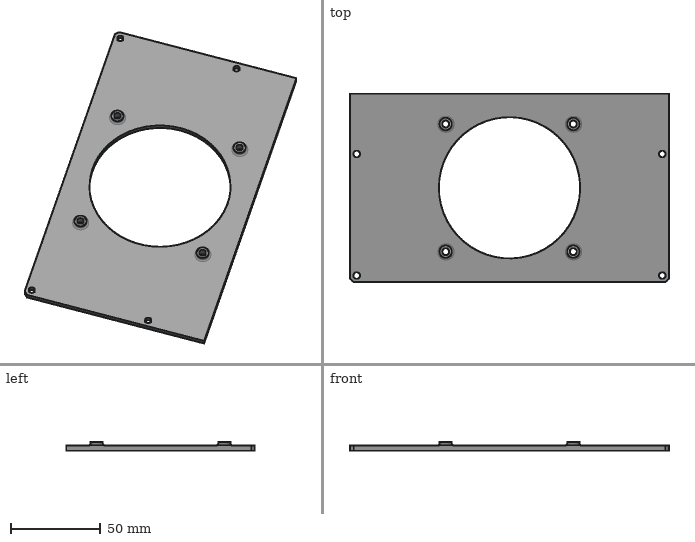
import cadquery as cq
import math

length = 178.6
width = 105.5
plate_thickness = 3.0
corner_chamfer = 2.0
opening_diameter = 79.0

mount_hole_diameter = 3.5
mount_hole_x = 85.5
mount_hole_rows = (-49.1, 19.0)

boss_pitch = 71.5
boss_height = 2.0
boss_diameter = 7.0
boss_hole_diameter = 3.8
boss_fillet = 1.0


def make_plate():
    """Flat plate with its two front corners cut off and a large round opening."""
    plate = cq.Workplane("XY").box(length, width, plate_thickness, centered=(True, True, False))
    plate = plate.edges("|Z and <Y").chamfer(corner_chamfer)
    return plate.faces(">Z").workplane(origin=(0, 0, 0)).hole(opening_diameter)


def make_boss():
    """Round boss that blends into the plate with a concave fillet."""
    top = plate_thickness + boss_height
    boss_radius = boss_diameter / 2
    foot_radius = boss_radius + boss_fillet
    foot_top = plate_thickness + boss_fillet
    arc_depth = boss_fillet * math.sqrt(0.5)
    arc_middle = (foot_radius - arc_depth, foot_top - arc_depth)
    return (
        cq.Workplane("XZ")
        .lineTo(foot_radius, 0)
        .lineTo(foot_radius, plate_thickness)
        .threePointArc(arc_middle, (boss_radius, foot_top))
        .lineTo(boss_radius, top)
        .lineTo(0, top)
        .close()
        .revolve(360, (0, 0, 0), (0, 1, 0))
    )


def make_drills(points, diameter):
    """Cylinders that cut through the plate and the bosses at the given points."""
    drill_length = plate_thickness + boss_height
    return cq.Workplane("XY").pushPoints(points).circle(diameter / 2).extrude(drill_length)


boss_points = [(x * boss_pitch / 2, y * boss_pitch / 2) for x in (-1, 1) for y in (-1, 1)]
mount_points = [(side * mount_hole_x, y) for side in (-1, 1) for y in mount_hole_rows]

result = make_plate()
for x, y in boss_points:
    result = result.union(make_boss().translate((x, y, 0)))
result = result.cut(make_drills(boss_points, boss_hole_diameter))
result = result.cut(make_drills(mount_points, mount_hole_diameter))